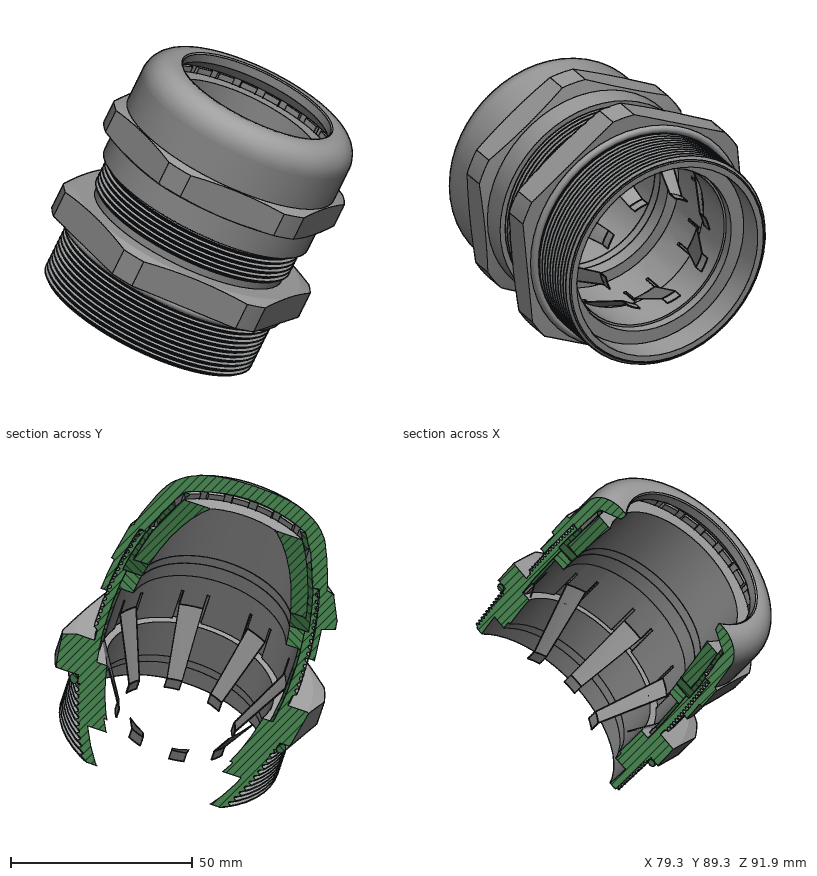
import cadquery as cq
import math


TILT_X = -36.0
TILT_Y = -15.3
SEAT_CENTRE = (3.4, -8.9, -12.7)

CHAMFER_SLOPE = 0.28
PITCH = 1.5
THREAD_DEPTH = 0.8
ROOT_FLAT = 0.2 * PITCH
CREST_START = 0.5 * PITCH
CREST_END = 0.7 * PITCH

BODY_FLATS = 68.0
BODY_CORNER_R = 37.5
BODY_HEX_TOP = 8.7
LOWER_CREST_R = 31.5
LOWER_TURNS = 11
RIM_R = 30.3
RIM_Z = -18.2
RIM_CHAMFER_HEIGHT = 0.2
SEAT_R = 31.25
UPPER_CREST_R = 29.6
UPPER_TURNS = 17
NECK_R = 28.6
NECK_TOP = 10.85
BODY_TOP = NECK_TOP + UPPER_TURNS * PITCH
ENTRY_R = 28.6
ENTRY_FLOOR = -10.3
LOWER_BORE_R = 24.6
LOWER_BORE_TOP = -7.5
BORE_R = 24.0
SHOULDER_Z = 4.1

CORD_R = 1.1

SLEEVE_R = 26.0
SLEEVE_OUTER_R = 26.75
SLEEVE_TOP = 21.6
TONGUES = 8
FIRST_TONGUE = 2.3
TONGUE_ANGLE = 14.8
BEND_Z = 9.0
TIP_R = 16.5
TIP_TOP = -9.7
TIP_BOTTOM = -12.8
SHEET = 0.3
SLOT_TOP = 13.8
SLOT_ANGLE = 1.6

SPACER_R = 22.6
SPACER_TOP = 26.0

SEAL_R = 22.4
SEAL_OUTER_R = 26.75
SEAL_TOP = 45.4

CAGE_FOOT_R = 22.5
CAGE_FOOT_TOP = 28.8
CAGE_OUTER_R = 27.85
CAGE_TOP = 47.1
FINGERS = 24
FIRST_GAP = 1.3
GAP_WIDTH = 2.4
GAP_BOTTOM = 36.8

CAP_FLATS = 64.0
CAP_CORNER_R = 35.0
CAP_R = 31.6
SKIRT_R = 31.25
CAP_BOTTOM = 20.2
CAP_HEX_BOTTOM = 27.4
CAP_HEX_TOP = 36.3
CAP_TOP = 53.7
CAP_ROUND_R = 7.4
LIP_R = 22.6
LIP_BOTTOM = 50.8
LIP_CHAMFER = 0.4

OVERLAP = 0.9


def revolve(points, start=0, angle=360):
    """Turn an outline of (radius, height) points about the Z axis."""
    solid = cq.Workplane("XZ").polyline(points).close().revolve(angle, (0, 0, 0), (0, 1, 0))
    return solid.rotate((0, 0, 0), (0, 0, 1), start)


def ring_outline(inner, outer, bottom, top):
    return [(inner, bottom), (outer, bottom), (outer, top), (inner, top)]


def thread_outline(crest, bottom, turns):
    """Ring-shaped ridges with narrow flat crests and roots, from the bottom upwards."""
    root = crest - THREAD_DEPTH
    points = []
    for turn in range(turns):
        z = bottom + turn * PITCH
        points += [(root, z), (root, z + ROOT_FLAT), (crest, z + CREST_START), (crest, z + CREST_END)]
    return points + [(root, bottom + turns * PITCH)]


def chamfered_hexagon(flats, bottom, top, outline):
    """Hexagonal prism trimmed to a turned outline, which cuts its corners and chamfers."""
    across_corners = flats / math.cos(math.pi / 6)
    prism = cq.Workplane("XY").workplane(offset=bottom).polygon(6, across_corners).extrude(top - bottom)
    return prism.intersect(revolve(outline))


def make_body():
    lower_thread = thread_outline(LOWER_CREST_R, RIM_Z + RIM_CHAMFER_HEIGHT, LOWER_TURNS)
    lower_thread_top = lower_thread[-1][1]
    upper_thread = thread_outline(UPPER_CREST_R, NECK_TOP, UPPER_TURNS)
    seat_and_neck = [(SEAT_R, lower_thread_top), (SEAT_R, 0), (NECK_R, 0), (NECK_R, NECK_TOP)]
    bore = [
        (CAGE_OUTER_R, BODY_TOP), (CAGE_OUTER_R, SPACER_TOP),
        (SLEEVE_OUTER_R, SPACER_TOP), (SLEEVE_OUTER_R, SHOULDER_Z),
        (BORE_R, SHOULDER_Z), (BORE_R, LOWER_BORE_TOP),
        (LOWER_BORE_R, LOWER_BORE_TOP), (LOWER_BORE_R, ENTRY_FLOOR),
        (ENTRY_R, ENTRY_FLOOR), (ENTRY_R, RIM_Z),
    ]
    tube = revolve([(RIM_R, RIM_Z)] + lower_thread + seat_and_neck + upper_thread + bore)

    chamfer_r = BODY_FLATS / 2
    chamfer_drop = CHAMFER_SLOPE * (BODY_CORNER_R - chamfer_r)
    hex_inner_r = NECK_R - OVERLAP
    hexagon = chamfered_hexagon(BODY_FLATS, 0, BODY_HEX_TOP, [
        (hex_inner_r, 0), (BODY_CORNER_R, 0), (BODY_CORNER_R, BODY_HEX_TOP - chamfer_drop),
        (chamfer_r, BODY_HEX_TOP), (hex_inner_r, BODY_HEX_TOP),
    ])
    return tube.union(hexagon)


def make_o_ring():
    ring_r = SEAT_R + CORD_R
    cord = cq.Workplane("XZ").center(ring_r, -CORD_R).circle(CORD_R)
    return cord.revolve(360, (-ring_r, 0, 0), (-ring_r, 1, 0))


def make_contact_sleeve():
    """Thin sleeve with tongues that are slit free and bent inwards towards their tips."""
    def cutter(top):
        return ring_outline(SLEEVE_R - OVERLAP, SLEEVE_OUTER_R + OVERLAP, SHOULDER_Z - OVERLAP, top)

    tongue = [
        (SLEEVE_R, BEND_Z), (TIP_R, TIP_TOP), (TIP_R, TIP_BOTTOM),
        (TIP_R + SHEET, TIP_BOTTOM), (TIP_R + SHEET, TIP_TOP), (SLEEVE_R + SHEET, BEND_Z),
    ]
    sleeve = revolve(ring_outline(SLEEVE_R, SLEEVE_OUTER_R, SHOULDER_Z, SLEEVE_TOP))
    for i in range(TONGUES):
        start = FIRST_TONGUE + i * 360 / TONGUES - TONGUE_ANGLE / 2
        sleeve = sleeve.cut(revolve(cutter(SLOT_TOP), start - SLOT_ANGLE, SLOT_ANGLE))
        sleeve = sleeve.cut(revolve(cutter(SLOT_TOP), start + TONGUE_ANGLE, SLOT_ANGLE))
        sleeve = sleeve.cut(revolve(cutter(BEND_Z), start, TONGUE_ANGLE))
        sleeve = sleeve.union(revolve(tongue, start, TONGUE_ANGLE))
    return sleeve


def make_spacer_ring():
    return revolve(ring_outline(SPACER_R, SLEEVE_OUTER_R, SLEEVE_TOP, SPACER_TOP))


def make_seal():
    return revolve(ring_outline(SEAL_R, SEAL_OUTER_R, CAGE_FOOT_TOP, SEAL_TOP))


def make_cage():
    """Ring foot under the seal and a crown of fingers around it."""
    cage = revolve([
        (CAGE_FOOT_R, SPACER_TOP), (CAGE_OUTER_R, SPACER_TOP), (CAGE_OUTER_R, CAGE_TOP),
        (SEAL_OUTER_R, CAGE_TOP), (SEAL_OUTER_R, CAGE_FOOT_TOP), (CAGE_FOOT_R, CAGE_FOOT_TOP),
    ])
    gap_depth = 2 * (CAGE_OUTER_R - SEAL_OUTER_R + OVERLAP)
    gap_base = cq.Workplane("XY").workplane(offset=GAP_BOTTOM).center(CAGE_OUTER_R, 0)
    gap = gap_base.rect(gap_depth, GAP_WIDTH).extrude(CAGE_TOP - GAP_BOTTOM + OVERLAP)
    for i in range(FINGERS):
        cage = cage.cut(gap.rotate((0, 0, 0), (0, 0, 1), FIRST_GAP + i * 360 / FINGERS))
    return cage


def make_cap_nut():
    """Domed nut with an inward lip over the cage; its thread is a plain bore."""
    round_r = CAP_R - CAP_ROUND_R
    round_z = CAP_TOP - CAP_ROUND_R
    diagonal = CAP_ROUND_R * math.sqrt(0.5)
    step_z = CAP_HEX_BOTTOM + OVERLAP
    shell = (
        cq.Workplane("XZ")
        .moveTo(UPPER_CREST_R, CAP_BOTTOM)
        .lineTo(SKIRT_R, CAP_BOTTOM)
        .lineTo(SKIRT_R, step_z)
        .lineTo(CAP_R, step_z)
        .lineTo(CAP_R, round_z)
        .threePointArc((round_r + diagonal, round_z + diagonal), (round_r, CAP_TOP))
        .lineTo(LIP_R + LIP_CHAMFER, CAP_TOP)
        .lineTo(LIP_R, CAP_TOP - LIP_CHAMFER)
        .lineTo(LIP_R, LIP_BOTTOM)
        .lineTo(CAGE_OUTER_R, CAGE_TOP)
        .lineTo(CAGE_OUTER_R, BODY_TOP)
        .lineTo(UPPER_CREST_R, BODY_TOP)
        .close()
        .revolve(360, (0, 0, 0), (0, 1, 0))
    )
    lower_rise = CHAMFER_SLOPE * (CAP_CORNER_R - SKIRT_R)
    upper_drop = CHAMFER_SLOPE * (CAP_CORNER_R - CAP_R)
    hex_inner_r = UPPER_CREST_R + OVERLAP
    hexagon = chamfered_hexagon(CAP_FLATS, CAP_HEX_BOTTOM, CAP_HEX_TOP, [
        (hex_inner_r, CAP_HEX_BOTTOM), (SKIRT_R, CAP_HEX_BOTTOM),
        (CAP_CORNER_R, CAP_HEX_BOTTOM + lower_rise), (CAP_CORNER_R, CAP_HEX_TOP - upper_drop),
        (CAP_R, CAP_HEX_TOP), (hex_inner_r, CAP_HEX_TOP),
    ])
    return shell.union(hexagon)


def place(body):
    tilted = body.rotate((0, 0, 0), (0, 1, 0), TILT_Y).rotate((0, 0, 0), (1, 0, 0), TILT_X)
    return tilted.translate(SEAT_CENTRE).val()


gland_body = place(make_body())
o_ring = place(make_o_ring())
contact_sleeve = place(make_contact_sleeve())
spacer_ring = place(make_spacer_ring())
seal = place(make_seal())
cage = place(make_cage())
cap_nut = place(make_cap_nut())

result = cq.Compound.makeCompound([gland_body, o_ring, contact_sleeve, spacer_ring, seal, cage, cap_nut])